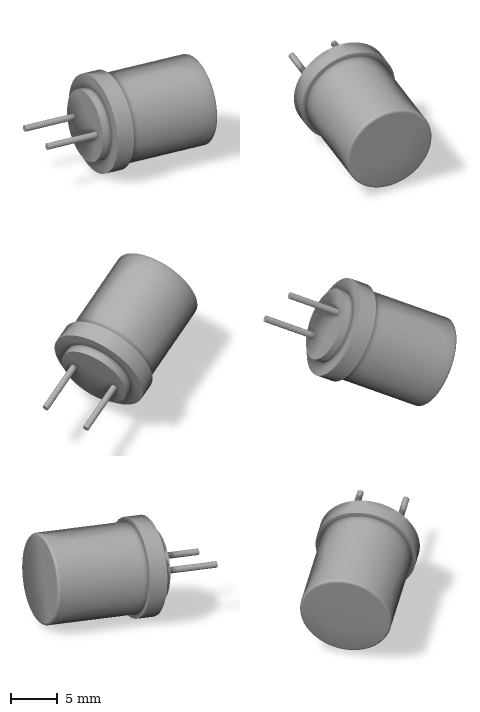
import cadquery as cq

total_length = 19.5
can_diameter = 10.0
flange_diameter = 11.0
base_diameter = 8.0
pin_diameter = 0.7
pin_spacing = 5.0

flange_length = 2.0
base_length = 1.0
pin_length = 6.0
can_length = total_length - flange_length - base_length - pin_length
can_edge_radius = 0.3


def cylinder_along_y(diameter, start_y, length, center_x=0):
    """Solid cylinder that starts at start_y and grows toward +Y."""
    base_center = cq.Vector(center_x, start_y, 0)
    solid = cq.Solid.makeCylinder(diameter / 2, length, base_center, cq.Vector(0, 1, 0))
    return cq.Workplane("XY").add(solid)


base_start = -flange_length - base_length
pin_start = base_start - pin_length

can = cylinder_along_y(can_diameter, 0, can_length).faces(">Y").edges().fillet(can_edge_radius)

flange = cylinder_along_y(flange_diameter, -flange_length, flange_length)
base = cylinder_along_y(base_diameter, base_start, base_length)

result = can.union(flange).union(base)

for side in (-1, 1):
    pin = cylinder_along_y(pin_diameter, pin_start, pin_length, side * pin_spacing / 2)
    result = result.union(pin)